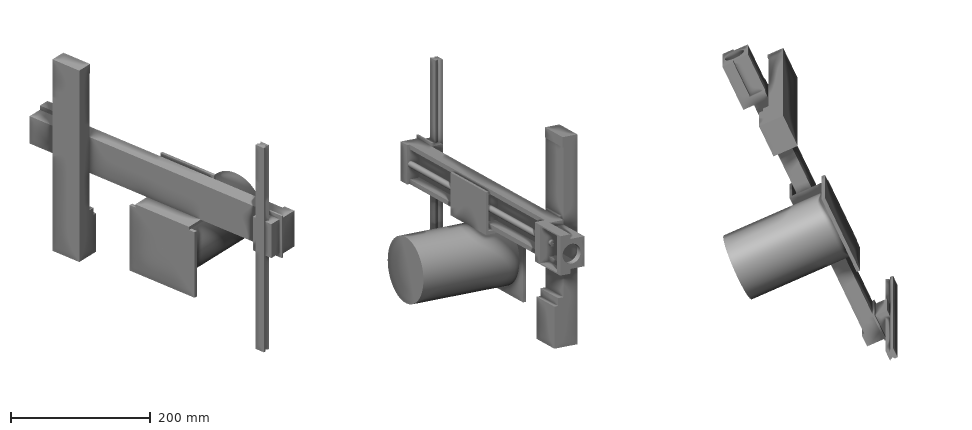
import cadquery as cq

FAR = 470.5
TOP = 340.0

AXIS_END = 469.0
AXIS_FRONT = 26.5
AXIS_BOTTOM = 156.5
AXIS_HEIGHT = 59.7
AXIS_TOP = AXIS_BOTTOM + AXIS_HEIGHT
AXIS_MID_Z = AXIS_BOTTOM + AXIS_HEIGHT / 2
BEAM_DEPTH = 23.0
END_BLOCK_DEPTH = 27.5
END_BLOCK_LENGTH = 18.5
HOUSING_DEPTH = 40.0
HOUSING_LENGTH = 71.5
NOTCH_LENGTH = 58.5
NOTCH_HEIGHT = 7.0
HOUSING_END_WALL = 9.5
HOUSING_WALL = 2.0
COUPLING_BORE = 30.0
SCREW_DIAMETER = 10.0
SCREW_CENTRE_BORE = 2.5
SCREW_CENTRE_DEPTH = 4.5
SCREW_Y = 47.5
BEAM_WALL = 7.0
SLIDE_X = 267.5
SLIDE_LENGTH = 74.5
SLIDE_WIDTH = 40.0
SLIDE_REAR = 56.5

BEAM_REAR = AXIS_FRONT + BEAM_DEPTH
HOUSING_REAR = AXIS_FRONT + HOUSING_DEPTH
BEAM_LENGTH = AXIS_END - END_BLOCK_LENGTH - HOUSING_LENGTH

COLUMN_LEFT = 64.0
COLUMN_WIDTH = 50.0
COLUMN_BOTTOM = 21.0
COLUMN_BEAM_DEPTH = 23.0
COLUMN_CAP_DEPTH = 24.5
COLUMN_CAP_BOTTOM = 324.5
COLUMN_SHOULDER_DEPTH = 32.0
COLUMN_SHOULDER_TOP = 97.0
COLUMN_FOOT_DEPTH = 38.0
COLUMN_FOOT_TOP = 85.0
COLUMN_SLIDE_LENGTH = 65.0

CAMERA_X = SLIDE_X
CAMERA_Z = 102.0
CAMERA_DIAMETER = 100.0
CAMERA_REAR = 165.0
PIN_HOLE = 1.0
SHEET = 5.0
FACE_WIDTH = 120.5
FACE_BOTTOM = 42.5
BRACKET_WIDTH = 99.5
FLANGE_THICKNESS = 4.0

RAIL_WIDTH = 15.5
RAIL_X = 448.8
RAIL_DEPTH = 11.8
RAIL_NECK_WIDTH = 9.5
RAIL_HEAD_DEPTH = 4.0
RAIL_NECK_Y = 6.5
CARRIAGE_WIDTH = 34.0
CARRIAGE_HEIGHT = 56.5
CARRIAGE_FRONT = 5.0
PLATE_WIDTH = 42.5
PLATE_HEIGHT = 70.0
PLATE_THICKNESS = 3.0


def box(x0, x1, y0, y1, z0, z1):
    """Block given by its limits along X, Y and Z."""
    return cq.Workplane("XY").box(x1 - x0, y1 - y0, z1 - z0, centered=False).translate((x0, y0, z0))


def rod_x(diameter, x0, x1):
    """Round bar along X on the screw line."""
    return cq.Workplane("YZ", origin=(x0, SCREW_Y, AXIS_MID_Z)).circle(diameter / 2).extrude(x1 - x0)


def rod_y(diameter, y0, y1):
    """Round bar along Y on the camera line."""
    return cq.Workplane("XZ", origin=(CAMERA_X, y0, CAMERA_Z)).circle(diameter / 2).extrude(y0 - y1)


def make_housing():
    """Hollow drive housing with relieved front corners, open to the rear."""
    body = box(0, HOUSING_LENGTH, AXIS_FRONT, HOUSING_REAR, AXIS_BOTTOM, AXIS_TOP)
    for z in (AXIS_BOTTOM, AXIS_TOP - NOTCH_HEIGHT):
        body = body.cut(box(0, NOTCH_LENGTH, AXIS_FRONT, BEAM_REAR, z, z + NOTCH_HEIGHT))
    narrow = NOTCH_HEIGHT + HOUSING_WALL
    inner_end = NOTCH_LENGTH - HOUSING_WALL
    body = body.cut(box(HOUSING_END_WALL, inner_end, AXIS_FRONT + HOUSING_WALL, HOUSING_REAR,
                        AXIS_BOTTOM + narrow, AXIS_TOP - narrow))
    body = body.cut(box(HOUSING_END_WALL, inner_end, BEAM_REAR + HOUSING_WALL, HOUSING_REAR,
                        AXIS_BOTTOM + HOUSING_WALL, AXIS_TOP - HOUSING_WALL))
    return body.cut(rod_x(COUPLING_BORE, 0, HOUSING_END_WALL))


def make_horizontal_axis():
    """Housing, channel beam, end block, lead screw and slide block in one piece."""
    beam_end = HOUSING_LENGTH + BEAM_LENGTH
    beam = box(HOUSING_LENGTH, beam_end, AXIS_FRONT, BEAM_REAR, AXIS_BOTTOM, AXIS_TOP)
    channel = box(HOUSING_LENGTH, beam_end, AXIS_FRONT + BEAM_WALL, BEAM_REAR,
                  AXIS_BOTTOM + BEAM_WALL, AXIS_TOP - BEAM_WALL)
    end_block = box(beam_end, AXIS_END, AXIS_FRONT, AXIS_FRONT + END_BLOCK_DEPTH, AXIS_BOTTOM, AXIS_TOP)
    screw_start = NOTCH_LENGTH - HOUSING_WALL - SCREW_CENTRE_DEPTH
    screw = rod_x(SCREW_DIAMETER, screw_start, beam_end)
    slide = box(SLIDE_X - SLIDE_LENGTH / 2, SLIDE_X + SLIDE_LENGTH / 2, AXIS_FRONT + BEAM_WALL, SLIDE_REAR,
                AXIS_MID_Z - SLIDE_WIDTH / 2, AXIS_MID_Z + SLIDE_WIDTH / 2)
    centre = rod_x(SCREW_CENTRE_BORE, screw_start, screw_start + SCREW_CENTRE_DEPTH)
    axis = make_housing().union(beam.cut(channel)).union(end_block).union(screw).union(slide)
    return axis.cut(centre)


def make_column():
    """Vertical linear axis with a stepped rear face and a slide block against the horizontal axis."""
    profile = [
        (0, COLUMN_BOTTOM),
        (COLUMN_FOOT_DEPTH, COLUMN_BOTTOM),
        (COLUMN_FOOT_DEPTH, COLUMN_FOOT_TOP),
        (COLUMN_SHOULDER_DEPTH, COLUMN_FOOT_TOP),
        (COLUMN_SHOULDER_DEPTH, COLUMN_SHOULDER_TOP),
        (COLUMN_BEAM_DEPTH, COLUMN_SHOULDER_TOP),
        (COLUMN_BEAM_DEPTH, COLUMN_CAP_BOTTOM),
        (COLUMN_CAP_DEPTH, COLUMN_CAP_BOTTOM),
        (COLUMN_CAP_DEPTH, TOP),
        (0, TOP),
    ]
    post = cq.Workplane("YZ", origin=(COLUMN_LEFT, 0, 0)).polyline(profile).close().extrude(COLUMN_WIDTH)
    middle = COLUMN_LEFT + COLUMN_WIDTH / 2
    slide = box(middle - SLIDE_WIDTH / 2, middle + SLIDE_WIDTH / 2, COLUMN_BEAM_DEPTH, AXIS_FRONT,
                AXIS_MID_Z - COLUMN_SLIDE_LENGTH / 2, AXIS_MID_Z + COLUMN_SLIDE_LENGTH / 2)
    return post.union(slide)


def make_camera():
    """Round camera behind a face plate, hung from the axis by an angle bracket."""
    left = CAMERA_X - BRACKET_WIDTH / 2
    right = CAMERA_X + BRACKET_WIDTH / 2
    bracket_rear = SLIDE_REAR + FLANGE_THICKNESS
    shelf_bottom = AXIS_BOTTOM - SHEET
    face = box(CAMERA_X - FACE_WIDTH / 2, CAMERA_X + FACE_WIDTH / 2, 0, SHEET, FACE_BOTTOM, shelf_bottom)
    shelf = box(left, right, 0, bracket_rear, shelf_bottom, AXIS_BOTTOM)
    flange = box(left, right, SLIDE_REAR, bracket_rear, AXIS_BOTTOM, AXIS_TOP)
    barrel = rod_y(CAMERA_DIAMETER, SHEET, CAMERA_REAR)
    return barrel.union(face).union(shelf).union(flange).cut(rod_y(PIN_HOLE, 0, SHEET))


def make_guide():
    """Waisted guide rail with its carriage and mounting plate."""
    half = RAIL_WIDTH / 2
    neck = RAIL_NECK_WIDTH / 2
    right_side = [(half, 0), (half, RAIL_HEAD_DEPTH), (neck, RAIL_NECK_Y), (half, RAIL_DEPTH)]
    left_side = [(-x, y) for x, y in reversed(right_side)]
    rail = cq.Workplane("XY", origin=(RAIL_X, 0, 0)).polyline(right_side + left_side).close().extrude(TOP)
    plate_front = AXIS_FRONT - PLATE_THICKNESS
    plate_left = FAR - PLATE_WIDTH
    middle = plate_left + PLATE_WIDTH / 2
    carriage = box(middle - CARRIAGE_WIDTH / 2, middle + CARRIAGE_WIDTH / 2, CARRIAGE_FRONT, plate_front,
                   AXIS_MID_Z - CARRIAGE_HEIGHT / 2, AXIS_MID_Z + CARRIAGE_HEIGHT / 2)
    plate = box(plate_left, FAR, plate_front, AXIS_FRONT,
                AXIS_MID_Z - PLATE_HEIGHT / 2, AXIS_MID_Z + PLATE_HEIGHT / 2)
    return rail.union(carriage).union(plate)


horizontal_axis = make_horizontal_axis()
column = make_column()
camera = make_camera()
guide = make_guide()

result = cq.Compound.makeCompound([horizontal_axis.val(), column.val(), camera.val(), guide.val()])